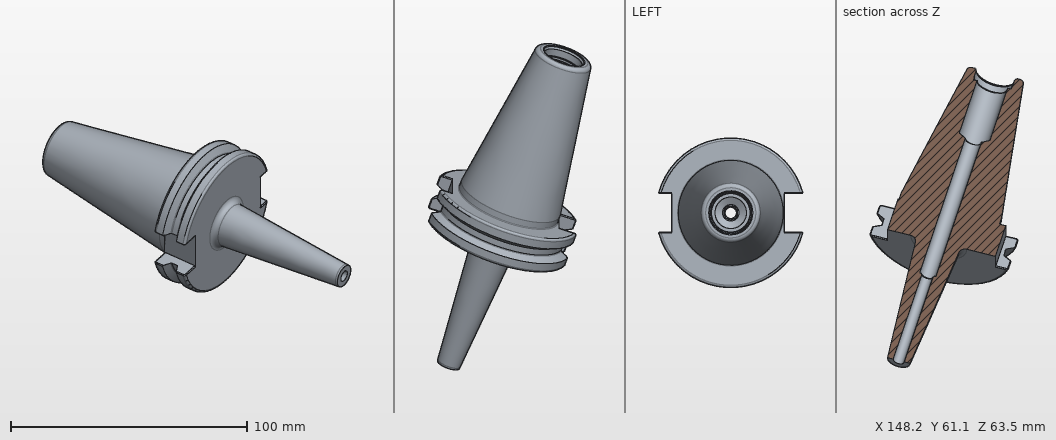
import cadquery as cq
import math

total_length = 148.2

gauge_dia = 44.5
taper_ratio = 7 / 24
taper_length = 68.2
small_end_dia = gauge_dia - taper_ratio * taper_length
small_end_round = 2.0

flange_dia = 63.5
flange_back = 71.3
flange_width = 16.0
flange_front = flange_back + flange_width
flange_round = 1.0
flange_root_round = 0.3
groove_center = flange_back + flange_width / 2
groove_floor_dia = 56.2
groove_floor_width = 3.3
groove_mouth_width = 7.1
groove_corner_round = 0.5
slot_width = 16.3
slot_edge_chamfer = 0.5
shallow_slot_floor = 25.0
deep_slot_floor = 22.7

nose_tip_dia = 10.2
nose_half_angle = 4.5
nose_root_round = 2.7
tip_face_dia = 10.0
tip_chamfer_length = 0.9
nose_cone_end = total_length - tip_chamfer_length
nose_slope = math.tan(math.radians(nose_half_angle))
nose_root_dia = nose_tip_dia + 2 * nose_slope * (nose_cone_end - flange_front)

mouth_dia = 18.7
mouth_lip_dia = 17.8
mouth_lip_depth = 0.3
countersink_half_angle = 30.0
counterbore_dia = 16.8
counterbore_step_dia = 16.3
counterbore_step_start = 4.3
counterbore_depth = 5.6
rear_bore_dia = 13.3
rear_bore_depth = 32.6
drill_half_angle = 59.0
middle_bore_dia = 7.0
middle_bore_depth = 103.8
tip_entry_dia = 6.0
tip_entry_half_angle = 45.0
tip_bore_dia = 4.7


def cone_length(large_dia, small_dia, half_angle):
    """Axial length of a cone between two diameters."""
    return (large_dia - small_dia) / 2 / math.tan(math.radians(half_angle))


def revolve_about_x(outline):
    """Revolve a closed (x, radius) outline about the X axis."""
    return cq.Workplane("XY").polyline(outline).close().revolve(360, (0, 0, 0), (1, 0, 0))


def turned_solid(profile):
    """Solid of revolution from (x, diameter) points, filled to the axis."""
    first_x = profile[0][0]
    last_x = profile[-1][0]
    outer = [(x, dia / 2) for x, dia in profile]
    return revolve_about_x([(first_x, 0)] + outer + [(last_x, 0)])


def ring_edges(x, dia):
    """Selector for the edges in the plane at x that lie within a diameter."""
    margin = 0.1
    reach = dia / 2 + margin
    low_corner = (x - margin, -reach, -reach)
    high_corner = (x + margin, reach, reach)
    return cq.selectors.BoxSelector(low_corner, high_corner, boundingbox=True)


def make_shank():
    shank = turned_solid([(0, small_end_dia), (taper_length, gauge_dia), (groove_center, gauge_dia)])
    return shank.faces("<X").edges().fillet(small_end_round)


def make_slot(side, floor):
    """Cutter for a drive slot on the +Y (side 1) or -Y (side -1) flank."""
    depth = flange_dia / 2
    slot = cq.Workplane("XY").box(flange_width, depth, slot_width)
    return slot.translate((groove_center, side * (floor + depth / 2), 0))


def make_groove():
    floor_half = groove_floor_width / 2
    mouth_half = groove_mouth_width / 2
    groove = revolve_about_x(
        [
            (groove_center - mouth_half, flange_dia / 2),
            (groove_center - floor_half, groove_floor_dia / 2),
            (groove_center + floor_half, groove_floor_dia / 2),
            (groove_center + mouth_half, flange_dia / 2),
        ]
    )
    floor_edges = cq.selectors.RadiusNthSelector(0)
    return groove.edges("%CIRCLE").edges(floor_edges).fillet(groove_corner_round)


def make_flange():
    disc = turned_solid([(flange_back, flange_dia), (flange_front, flange_dia)])
    disc = disc.edges("%CIRCLE").fillet(flange_round)
    disc = disc.cut(make_slot(1, shallow_slot_floor))
    disc = disc.cut(make_slot(-1, deep_slot_floor))
    disc = disc.faces("|Z").edges("|Y").chamfer(slot_edge_chamfer)
    return disc.cut(make_groove())


def make_nose():
    return turned_solid(
        [
            (flange_front, nose_root_dia),
            (nose_cone_end, nose_tip_dia),
            (total_length, tip_face_dia),
        ]
    )


def make_bore():
    countersink_length = cone_length(mouth_lip_dia, counterbore_dia, countersink_half_angle)
    step_length = cone_length(counterbore_dia, counterbore_step_dia, countersink_half_angle)
    drill_point_length = cone_length(rear_bore_dia, middle_bore_dia, drill_half_angle)
    tip_entry_length = cone_length(tip_entry_dia, tip_bore_dia, tip_entry_half_angle)
    return turned_solid(
        [
            (0, mouth_dia),
            (mouth_lip_depth, mouth_lip_dia),
            (mouth_lip_depth + countersink_length, counterbore_dia),
            (counterbore_step_start, counterbore_dia),
            (counterbore_step_start + step_length, counterbore_step_dia),
            (counterbore_depth, counterbore_step_dia),
            (counterbore_depth, rear_bore_dia),
            (rear_bore_depth, rear_bore_dia),
            (rear_bore_depth + drill_point_length, middle_bore_dia),
            (middle_bore_depth, middle_bore_dia),
            (middle_bore_depth, tip_entry_dia),
            (middle_bore_depth + tip_entry_length, tip_bore_dia),
            (total_length, tip_bore_dia),
        ]
    )


body = make_flange().union(make_nose()).union(make_shank())
body = body.edges(ring_edges(flange_front, nose_root_dia)).fillet(nose_root_round)
body = body.edges(ring_edges(flange_back, gauge_dia)).fillet(flange_root_round)
result = body.cut(make_bore())